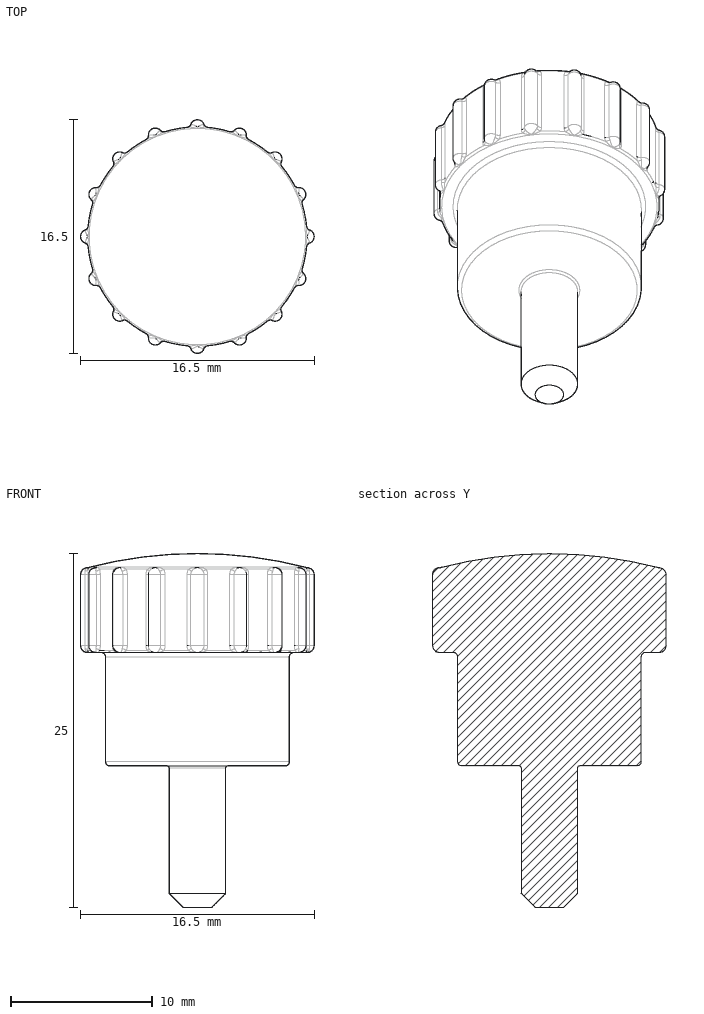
import cadquery as cq
import math

total_height = 25.0
shaft_radius = 2.0
tip_chamfer = 1.0
collar_radius = 6.5
collar_bottom = 10.0
head_bottom = 18.0
rim_top = 24.0
head_radius = 7.75
rib_count = 16
rib_radius = 0.5

shaft_blend = 0.15
collar_round = 0.3
rim_round = 0.15
rib_blend = 0.3

edge_tolerance = 0.02


def turned_body():
    """Shaft, collar and domed head as one solid turned about Z."""
    dome_rise = total_height - rim_top
    dome_radius = (head_radius**2 + dome_rise**2) / (2 * dome_rise)
    dome_mid_x = head_radius / 2
    dome_mid_z = total_height - dome_radius + math.sqrt(dome_radius**2 - dome_mid_x**2)
    return (
        cq.Workplane("XZ")
        .lineTo(shaft_radius - tip_chamfer, 0)
        .lineTo(shaft_radius, tip_chamfer)
        .lineTo(shaft_radius, collar_bottom)
        .lineTo(collar_radius, collar_bottom)
        .lineTo(collar_radius, head_bottom)
        .lineTo(head_radius, head_bottom)
        .lineTo(head_radius, rim_top)
        .threePointArc((dome_mid_x, dome_mid_z), (0, total_height))
        .close()
        .revolve(360, (0, 0, 0), (0, 1, 0))
    )


def round_ring(solid, ring_radius, height, fillet_radius):
    """Fillet the circular edge with the given radius and height."""

    def is_ring(edge):
        if edge.geomType() != "CIRCLE":
            return False
        radius_error = abs(edge.radius() - ring_radius)
        height_error = abs(edge.Center().z - height)
        return max(radius_error, height_error) < edge_tolerance

    return solid.edges().filter(is_ring).fillet(fillet_radius)


def grip_rib(angle):
    """Vertical bar with hemispherical ends, centred on the head's side."""
    lower_center = head_bottom + rib_radius
    upper_center = rim_top - rib_radius
    arc_mid = rib_radius * math.sqrt(0.5)
    rib = (
        cq.Workplane("XZ")
        .moveTo(0, head_bottom)
        .threePointArc((arc_mid, lower_center - arc_mid), (rib_radius, lower_center))
        .lineTo(rib_radius, upper_center)
        .threePointArc((arc_mid, upper_center + arc_mid), (0, rim_top))
        .close()
        .revolve(360, (0, 0, 0), (0, 1, 0))
    )
    return rib.translate((head_radius, 0, 0)).rotate((0, 0, 0), (0, 0, 1), angle)


def is_rib_foot(edge):
    """True for the straight edges where the ribs meet the side of the head."""
    center = edge.Center()
    return abs(math.hypot(center.x, center.y) - head_radius) < edge_tolerance


body = turned_body()
body = round_ring(body, shaft_radius, collar_bottom, shaft_blend)
body = round_ring(body, collar_radius, collar_bottom, collar_round)
body = round_ring(body, collar_radius, head_bottom, collar_round)
body = round_ring(body, head_radius, head_bottom, rim_round)
body = round_ring(body, head_radius, rim_top, rim_round)

ribs = [grip_rib(index * 360 / rib_count).val() for index in range(rib_count)]
body = cq.Workplane(body.val().fuse(*ribs))
body = body.edges("|Z").filter(is_rib_foot).fillet(rib_blend)

result = body.solids()